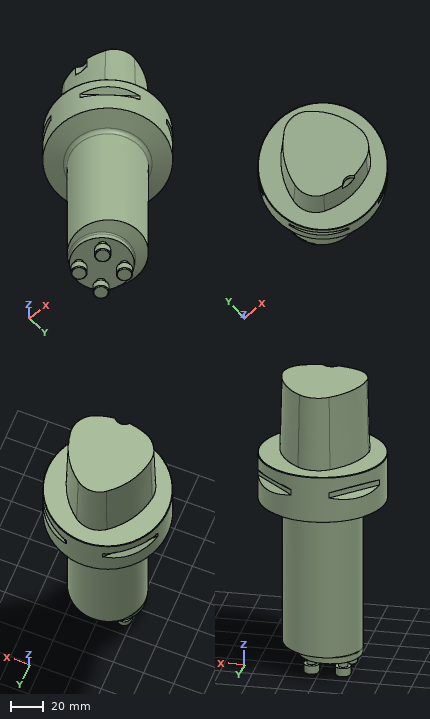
import math

import cadquery as cq

CUT_CLEARANCE = 1.0

TAPER_LENGTH = 48.0
TAPER_RATIO = 1 / 20
LOBE_COUNT = 3
LOBE_CENTER_DISTANCE = 13.2
LOBE_BASE_RADIUS = 16.5
LOBE_HALF_ANGLE = 37.5

NOTCH_RADIUS = 6.0
NOTCH_AXIS_Y = -27.6
NOTCH_DEPTH = 8.2
DRILL_TIP_ANGLE = 106.0

FLANGE_RADIUS = 40.0
FLANGE_HEIGHT = 30.0
FLANGE_CHAMFER = 0.4
FLANGE_CONE_ANGLE = 15.0

GROOVE_COUNT = 4
GROOVE_FIRST_ANGLE = 45.0
GROOVE_Z = -12.0
GROOVE_FLOOR_DISTANCE = 35.5
GROOVE_FLOOR_HEIGHT = 3.4
GROOVE_WALL_ANGLE = 30.0

BODY_RADIUS = 25.0
BODY_FILLET = 3.0

SEAT_RADIUS = 20.0
SEAT_X = SEAT_RADIUS - BODY_RADIUS
SEAT_FACE_Z = -133.0
SEAT_CONE_Z = -128.3
SEAT_CONE_ANGLE = 15.0
SEAT_FILLET = 1.0

SCREW_COUNT = 4
SCREW_FIRST_ANGLE = 45.0
SCREW_CIRCLE_RADIUS = 14.0
SCREW_SHANK_RADIUS = 3.0
SCREW_HEAD_RADIUS = 5.0
SCREW_HEAD_HEIGHT = 6.0
SCREW_HEAD_CHAMFER = 0.6
SCREW_END_Z = -143.53


def tan_deg(angle):
    return math.tan(math.radians(angle))


def offset_point(start, distance, angle):
    """Point at a distance from the start point, in the direction of an angle in the XY plane."""
    return start + cq.Vector(math.cos(math.radians(angle)), math.sin(math.radians(angle))) * distance


def lobed_wire(lobe_radius, z):
    """Rounded triangle of lobe arcs joined by tangent flank arcs."""
    pitch = 360 / LOBE_COUNT
    half_angle = math.radians(LOBE_HALF_ANGLE)
    half_pitch = math.radians(pitch / 2)
    center_spacing = LOBE_CENTER_DISTANCE * math.sin(half_pitch) / math.sin(half_pitch - half_angle)
    flank_center_distance = LOBE_CENTER_DISTANCE * math.sin(half_angle) / math.sin(half_pitch - half_angle)
    flank_middle_distance = lobe_radius + center_spacing - flank_center_distance

    axis_point = cq.Vector(0, 0, z)
    edges = []
    for lobe in range(LOBE_COUNT):
        lobe_angle = 90 + lobe * pitch
        next_angle = lobe_angle + pitch
        center = offset_point(axis_point, LOBE_CENTER_DISTANCE, lobe_angle)
        next_center = offset_point(axis_point, LOBE_CENTER_DISTANCE, next_angle)
        lobe_start = offset_point(center, lobe_radius, lobe_angle - LOBE_HALF_ANGLE)
        lobe_middle = offset_point(center, lobe_radius, lobe_angle)
        lobe_end = offset_point(center, lobe_radius, lobe_angle + LOBE_HALF_ANGLE)
        flank_middle = offset_point(axis_point, flank_middle_distance, lobe_angle + pitch / 2)
        flank_end = offset_point(next_center, lobe_radius, next_angle - LOBE_HALF_ANGLE)
        edges.append(cq.Edge.makeThreePointArc(lobe_start, lobe_middle, lobe_end))
        edges.append(cq.Edge.makeThreePointArc(lobe_end, flank_middle, flank_end))
    return cq.Wire.assembleEdges(edges)


def taper_shank():
    top_radius = LOBE_BASE_RADIUS - TAPER_LENGTH * TAPER_RATIO / 2
    sections = [lobed_wire(LOBE_BASE_RADIUS, 0), lobed_wire(top_radius, TAPER_LENGTH)]
    return cq.Workplane(obj=cq.Solid.makeLoft(sections, True))


def notch_cutter():
    """Drill shape standing on its conical tip, open at the top of the taper shank."""
    shoulder_z = TAPER_LENGTH - NOTCH_DEPTH
    tip_z = shoulder_z - NOTCH_RADIUS / tan_deg(DRILL_TIP_ANGLE / 2)
    top_z = TAPER_LENGTH + CUT_CLEARANCE
    profile = [(0, tip_z), (NOTCH_RADIUS, shoulder_z), (NOTCH_RADIUS, top_z), (0, top_z)]
    drill = cq.Workplane("XZ").polyline(profile).close().revolve(360, (0, 0, 0), (0, 1, 0))
    return drill.translate((0, NOTCH_AXIS_Y, 0))


def flange_and_body():
    """Flange, cone and body turned about Z, with a fillet where the cone meets the body."""
    cone_end_z = -FLANGE_HEIGHT - (FLANGE_RADIUS - BODY_RADIUS) * tan_deg(FLANGE_CONE_ANGLE)
    profile = [
        (0, 0),
        (FLANGE_RADIUS - FLANGE_CHAMFER, 0),
        (FLANGE_RADIUS, -FLANGE_CHAMFER),
        (FLANGE_RADIUS, -FLANGE_HEIGHT),
        (BODY_RADIUS, cone_end_z),
        (BODY_RADIUS, SEAT_FACE_Z),
        (0, SEAT_FACE_Z),
    ]
    turned = cq.Workplane("XZ").polyline(profile).close().revolve(360, (0, 0, 0), (0, 1, 0))
    corner = cq.selectors.NearestToPointSelector((0, 0, cone_end_z))
    return turned.edges("%CIRCLE").edges(corner).fillet(BODY_FILLET)


def seat_cutter():
    """Ring that leaves the eccentric seat, the fillet and the shallow cone above it."""
    outer = 2 * BODY_RADIUS
    bottom_z = SEAT_FACE_Z - CUT_CLEARANCE
    cone_rise = (outer - SEAT_RADIUS) * tan_deg(SEAT_CONE_ANGLE)
    tangent = SEAT_FILLET * tan_deg((90 - SEAT_CONE_ANGLE) / 2)
    cone_angle = math.radians(SEAT_CONE_ANGLE)
    fillet_end = (SEAT_RADIUS + tangent * math.cos(cone_angle), SEAT_CONE_Z + tangent * math.sin(cone_angle))
    bisector = math.radians((SEAT_CONE_ANGLE - 90) / 2)
    corner_to_center = math.hypot(SEAT_FILLET, tangent)
    mid_distance = corner_to_center - SEAT_FILLET
    fillet_middle = (
        SEAT_RADIUS + mid_distance * math.cos(bisector),
        SEAT_CONE_Z + mid_distance * math.sin(bisector),
    )
    ring = (
        cq.Workplane("XZ")
        .moveTo(SEAT_RADIUS, bottom_z)
        .lineTo(SEAT_RADIUS, SEAT_CONE_Z - tangent)
        .threePointArc(fillet_middle, fillet_end)
        .lineTo(outer, SEAT_CONE_Z + cone_rise)
        .lineTo(outer, bottom_z)
        .close()
        .revolve(360, (0, 0, 0), (0, 1, 0))
    )
    return ring.translate((SEAT_X, 0, 0))


def groove_cutter():
    """Straight groove with a flat floor and flared walls, cut across the +X side of the flange."""
    mouth_distance = FLANGE_RADIUS + CUT_CLEARANCE
    flare = (mouth_distance - GROOVE_FLOOR_DISTANCE) * tan_deg(GROOVE_WALL_ANGLE)
    half_floor = GROOVE_FLOOR_HEIGHT / 2
    profile = [
        (GROOVE_FLOOR_DISTANCE, GROOVE_Z - half_floor),
        (mouth_distance, GROOVE_Z - half_floor - flare),
        (mouth_distance, GROOVE_Z + half_floor + flare),
        (GROOVE_FLOOR_DISTANCE, GROOVE_Z + half_floor),
    ]
    length = 2 * FLANGE_RADIUS
    return cq.Workplane("XZ", origin=(0, length / 2, 0)).polyline(profile).close().extrude(length)


def screw():
    head_top_z = SCREW_END_Z + SCREW_HEAD_HEIGHT
    head = (
        cq.Workplane("XY", origin=(0, 0, SCREW_END_Z))
        .circle(SCREW_HEAD_RADIUS)
        .extrude(SCREW_HEAD_HEIGHT)
        .faces("<Z")
        .chamfer(SCREW_HEAD_CHAMFER)
    )
    shank_length = SEAT_FACE_Z - head_top_z
    shank = cq.Workplane("XY", origin=(0, 0, head_top_z)).circle(SCREW_SHANK_RADIUS).extrude(shank_length)
    return head.union(shank)


result = flange_and_body().cut(seat_cutter())
result = result.union(taper_shank()).cut(notch_cutter())

for index in range(GROOVE_COUNT):
    angle = GROOVE_FIRST_ANGLE + index * 360 / GROOVE_COUNT
    result = result.cut(groove_cutter().rotate((0, 0, 0), (0, 0, 1), angle))

for index in range(SCREW_COUNT):
    angle = SCREW_FIRST_ANGLE + index * 360 / SCREW_COUNT
    place = offset_point(cq.Vector(SEAT_X, 0, 0), SCREW_CIRCLE_RADIUS, angle)
    result = result.union(screw().translate(place))